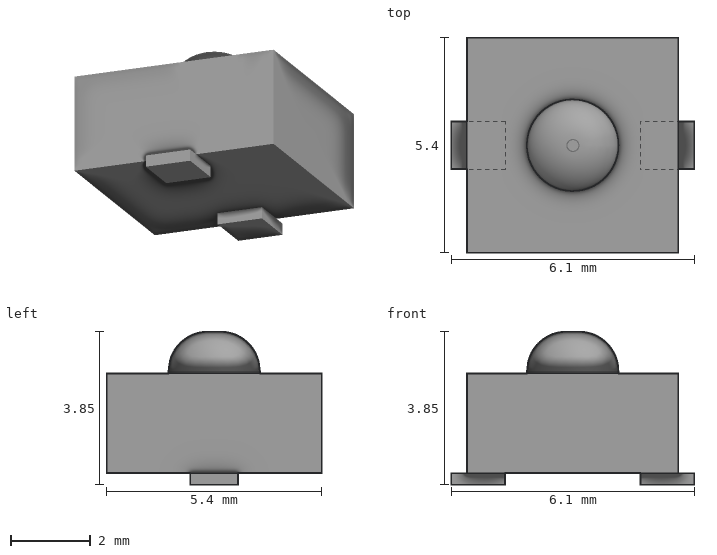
import cadquery as cq

overall_length = 6.1
housing_length = 5.31
housing_width = 5.4
housing_height = 2.5
terminal_length = 1.355
terminal_width = 1.2
terminal_thickness = 0.3
lens_diameter = 2.3
lens_height = 1.05
lens_rounding = 1.0

housing_bottom = terminal_thickness
housing_top = housing_bottom + housing_height
terminal_offset = (overall_length - terminal_length) / 2


def make_housing():
    """Plain block standing on the terminals."""
    return (
        cq.Workplane("XY")
        .workplane(offset=housing_bottom)
        .rect(housing_length, housing_width)
        .extrude(housing_height)
    )


def make_lens():
    """Domed disc centred on top of the housing."""
    return (
        cq.Workplane("XY")
        .workplane(offset=housing_top)
        .circle(lens_diameter / 2)
        .extrude(lens_height)
        .faces(">Z")
        .edges()
        .fillet(lens_rounding)
    )


def make_terminal(side):
    """Flat terminal under the housing; side is -1 or +1 along X."""
    return (
        cq.Workplane("XY")
        .center(side * terminal_offset, 0)
        .rect(terminal_length, terminal_width)
        .extrude(terminal_thickness)
    )


housing = make_housing()
lens = make_lens()
terminals = [make_terminal(side) for side in (-1, 1)]

result = cq.Compound.makeCompound(
    [housing.val(), lens.val(), *[terminal.val() for terminal in terminals]]
)